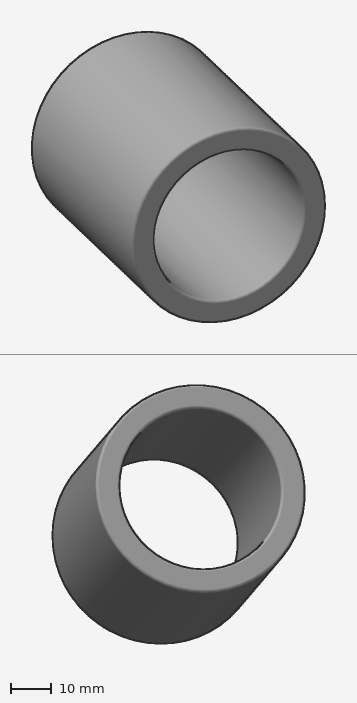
import cadquery as cq

length = 60.0
outer_diameter = 52.0
bore_diameter = 40.0
edge_radius = 0.8

tube = (
    cq.Workplane("YZ", origin=(-length / 2, 0, 0))
    .circle(outer_diameter / 2)
    .circle(bore_diameter / 2)
    .extrude(length)
)

result = tube.faces("<X or >X").edges().fillet(edge_radius)